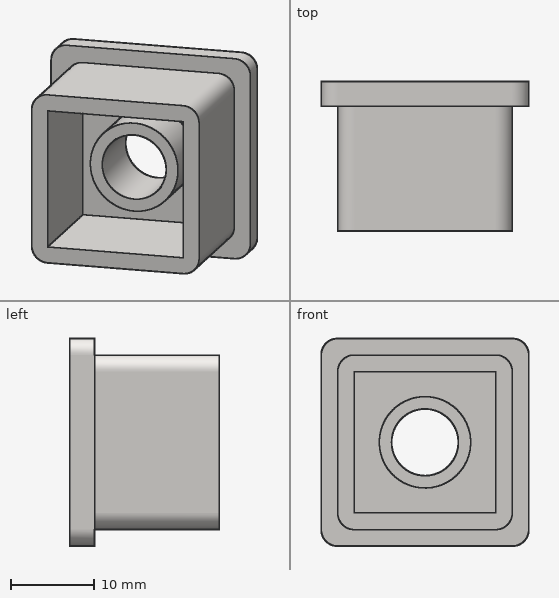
import cadquery as cq

flange_side = 25
flange_thickness = 3
corner_radius = 2

plug_side = 21
plug_length = 15
wall = 2
cavity_side = plug_side - 2 * wall

bore_diameter = 8
collar_diameter = 11
collar_height = 7

depth = plug_length + flange_thickness
front_y = -depth / 2
flange_y = front_y + plug_length
collar_y = flange_y - collar_height


def plane_at(y):
    """XZ plane at the given Y, with its normal pointing toward +Y."""
    return cq.Workplane(cq.Plane(origin=(0, y, 0), xDir=(-1, 0, 0), normal=(0, 1, 0)))


def rounded_block(side, length, y):
    return plane_at(y).rect(side, side).extrude(length).edges("|Y").fillet(corner_radius)


flange = rounded_block(flange_side, flange_thickness, flange_y)
plug = rounded_block(plug_side, plug_length, front_y)
cavity = plane_at(front_y).rect(cavity_side, cavity_side).extrude(plug_length)
collar = plane_at(collar_y).circle(collar_diameter / 2).extrude(collar_height)
bore = plane_at(front_y).circle(bore_diameter / 2).extrude(depth)

result = flange.union(plug).cut(cavity).union(collar).cut(bore)